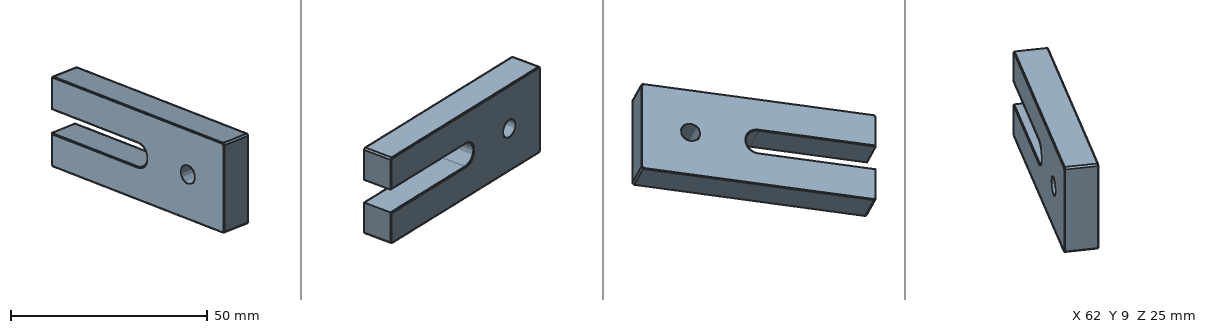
import cadquery as cq

length = 62.0
thickness = 9.0
height = 25.0
corner_chamfer = 0.5
face_chamfer = 0.25

slot_width = 6.6
slot_depth_to_arc_centre = length / 2

hole_diameter = 5.0
hole_from_slotted_end = 49.0

slotted_end_x = -length / 2
slot_arc_centre_x = slotted_end_x + slot_depth_to_arc_centre
hole_x = slotted_end_x + hole_from_slotted_end


def chamfered_block():
    """Block with chamfered corners and a finer chamfer around both broad faces."""
    block = cq.Workplane("XY").box(length, thickness, height)
    block = block.edges("|Y").chamfer(corner_chamfer)
    return block.faces("<Y or >Y").edges().chamfer(face_chamfer)


def slot_outline(radius, y):
    """Closed round-ended slot outline in the plane at y, reaching past the -X end."""
    mouth_x = slotted_end_x - slot_width
    return (
        cq.Workplane("XZ", origin=(0, y, 0))
        .moveTo(mouth_x, -radius)
        .lineTo(slot_arc_centre_x, -radius)
        .threePointArc((slot_arc_centre_x + radius, 0), (slot_arc_centre_x, radius))
        .lineTo(mouth_x, radius)
        .close()
    )


def slot_cutter():
    """Through slot that widens at 45 degrees where it meets both broad faces."""
    slot_radius = slot_width / 2
    cutter = slot_outline(slot_radius, 0).extrude(thickness / 2, both=True)
    for side in (-1, 1):
        rim = slot_outline(slot_radius + face_chamfer, side * thickness / 2)
        cutter = cutter.union(rim.extrude(side * face_chamfer, taper=45))
    return cutter


def hole_cutter():
    """Plain round hole through the full thickness."""
    return (
        cq.Workplane("XZ")
        .center(hole_x, 0)
        .circle(hole_diameter / 2)
        .extrude(thickness / 2, both=True)
    )


result = chamfered_block().cut(slot_cutter()).cut(hole_cutter())